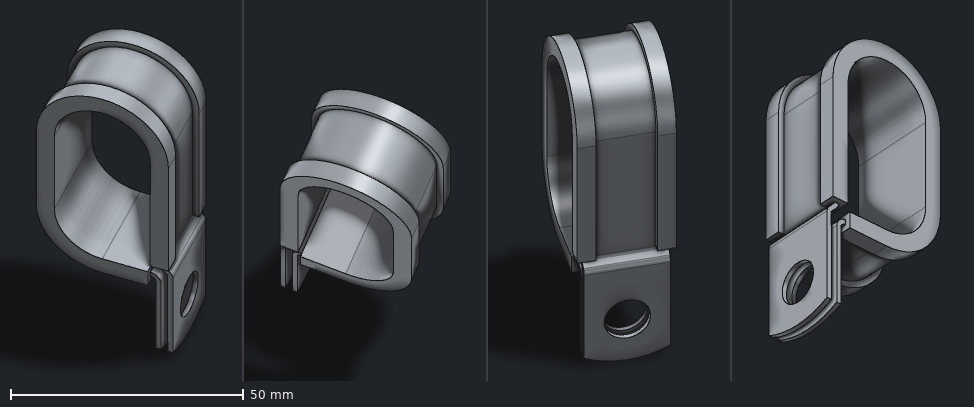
import cadquery as cq
import math


loop_width = 30.7
outer_radius = loop_width / 2
cushion_width = 22.1
cushion_thickness = 4.3
total_height = 74.9
upper_center_z = total_height - outer_radius
lower_center_z = 37.4
right_leg_end_z = 28.15
floor_end_x = 25.9
groove_width = 13.7
groove_depth = 1.6

strap_width = 19.25
strap_thickness = 1.2
jog_radius = 0.9
outer_jog_radius = jog_radius + strap_thickness
left_tab_x = 27.2
right_tab_x = 29.95
tip_rise = 2.2
hole_diameter = 10.25
hole_z = 11.15

strap_inner_depth = groove_depth + strap_thickness
corner_radius = left_tab_x - floor_end_x


def extrude_centered(profile, width):
    """Extrude an XZ profile by the given width, centered on Y = 0."""
    return profile.extrude(width / 2, both=True)


def loop_band(outer_depth, inner_depth, width):
    """Open loop lying between two depths below the cushion's outer surface."""
    outer = outer_radius - outer_depth
    inner = outer_radius - inner_depth
    center_x = outer_radius
    diagonal = math.sqrt(0.5)
    profile = (
        cq.Workplane("XZ")
        .moveTo(center_x + outer, right_leg_end_z)
        .lineTo(center_x + outer, upper_center_z)
        .threePointArc((center_x, upper_center_z + outer), (center_x - outer, upper_center_z))
        .lineTo(center_x - outer, lower_center_z)
        .threePointArc(
            (center_x - outer * diagonal, lower_center_z - outer * diagonal),
            (center_x, lower_center_z - outer),
        )
        .lineTo(floor_end_x, lower_center_z - outer)
        .lineTo(floor_end_x, lower_center_z - inner)
        .lineTo(center_x, lower_center_z - inner)
        .threePointArc(
            (center_x - inner * diagonal, lower_center_z - inner * diagonal),
            (center_x - inner, lower_center_z),
        )
        .lineTo(center_x - inner, upper_center_z)
        .threePointArc((center_x, upper_center_z + inner), (center_x + inner, upper_center_z))
        .lineTo(center_x + inner, right_leg_end_z)
        .close()
    )
    return extrude_centered(profile, width)


def left_tab():
    """Tab turned down through a right angle from the loop floor."""
    strap_bottom = lower_center_z - outer_radius + groove_depth
    strap_top = strap_bottom + strap_thickness
    bend_z = strap_bottom - corner_radius
    profile = (
        cq.Workplane("XZ")
        .moveTo(floor_end_x, strap_top)
        .radiusArc((left_tab_x + strap_thickness, bend_z), corner_radius + strap_thickness)
        .lineTo(left_tab_x + strap_thickness, 0)
        .lineTo(left_tab_x, 0)
        .lineTo(left_tab_x, bend_z)
        .radiusArc((floor_end_x, strap_bottom), -corner_radius)
        .close()
    )
    return extrude_centered(profile, strap_width)


def right_tab():
    """Tab stepped outward from the right leg by two opposite 45 degree bends."""
    leg_x = loop_width - strap_inner_depth
    bend_cos = math.sqrt(0.5)
    reach = 1 - bend_cos
    jog_radii = jog_radius + outer_jog_radius
    slant = (right_tab_x - leg_x) - jog_radii * reach
    jog_bottom = right_leg_end_z - jog_radii * bend_cos - slant
    leg_outer_x = leg_x + strap_thickness
    tab_outer_x = right_tab_x + strap_thickness
    profile = (
        cq.Workplane("XZ")
        .moveTo(leg_x, right_leg_end_z)
        .radiusArc(
            (leg_x + outer_jog_radius * reach, right_leg_end_z - outer_jog_radius * bend_cos),
            -outer_jog_radius,
        )
        .line(slant, -slant)
        .radiusArc((right_tab_x, jog_bottom), jog_radius)
        .lineTo(right_tab_x, 0)
        .lineTo(tab_outer_x, 0)
        .lineTo(tab_outer_x, jog_bottom)
        .radiusArc(
            (tab_outer_x - outer_jog_radius * reach, jog_bottom + outer_jog_radius * bend_cos),
            -outer_jog_radius,
        )
        .line(-slant, slant)
        .radiusArc((leg_outer_x, right_leg_end_z), jog_radius)
        .close()
    )
    return extrude_centered(profile, strap_width)


def tab_outline():
    """Side silhouette of the tabs: straight sides, bowed tip, bolt hole."""
    half_width = strap_width / 2
    return (
        cq.Workplane("YZ")
        .moveTo(-half_width, total_height)
        .lineTo(-half_width, tip_rise)
        .threePointArc((0, 0), (half_width, tip_rise))
        .lineTo(half_width, total_height)
        .close()
        .moveTo(0, hole_z)
        .circle(hole_diameter / 2)
        .extrude(right_tab_x + strap_thickness)
    )


cushion = loop_band(0, cushion_thickness, cushion_width)
cushion = cushion.cut(loop_band(0, groove_depth, groove_width))

strap = loop_band(groove_depth, strap_inner_depth, strap_width)
tabs = left_tab().union(right_tab()).intersect(tab_outline())

result = cushion.union(strap).union(tabs)